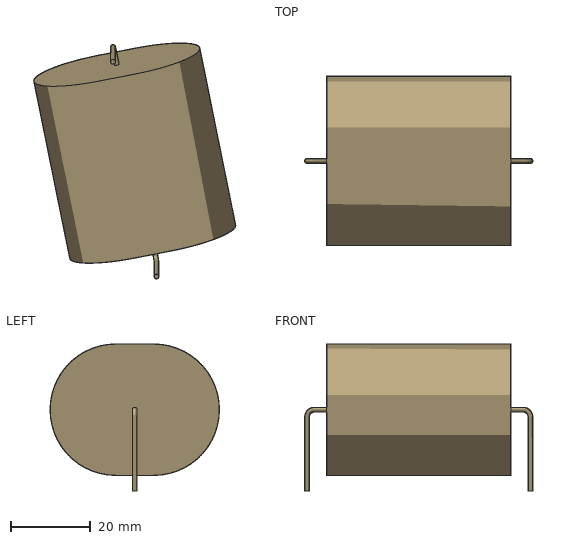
import cadquery as cq
import math

overall_length = 57.2
case_length = 46.15
case_width = 42.5
case_height = 33.0
lead_diameter = 1.2
lead_drop = 3.9

lead_radius = lead_diameter / 2
bend_radius = 1.5 * lead_diameter
case_end_x = case_length / 2
leg_x = overall_length / 2 - lead_radius
tip_z = -case_height / 2 - lead_drop


def make_case():
    """Capacitor case: an oblong section, rounded on both Y sides, extruded along X."""
    return (
        cq.Workplane("YZ", origin=(-case_end_x, 0, 0))
        .slot2D(case_width, case_height)
        .extrude(case_length)
    )


def make_lead(side):
    """Round wire leaving the case end at side (-1 or +1) along X, then bent down to its tip."""
    bend_start_x = leg_x - bend_radius
    bend_mid_x = bend_start_x + bend_radius * math.sin(math.pi / 4)
    bend_mid_z = -bend_radius * (1 - math.cos(math.pi / 4))
    centreline = (
        cq.Workplane("XZ")
        .moveTo(side * case_end_x, 0)
        .lineTo(side * bend_start_x, 0)
        .threePointArc((side * bend_mid_x, bend_mid_z), (side * leg_x, -bend_radius))
        .lineTo(side * leg_x, tip_z)
    )
    return (
        cq.Workplane("YZ", origin=(side * case_end_x, 0, 0))
        .circle(lead_radius)
        .sweep(centreline)
    )


case = make_case()
leads = [make_lead(side) for side in (-1, 1)]

result = cq.Compound.makeCompound([case.val(), *[lead.val() for lead in leads]])